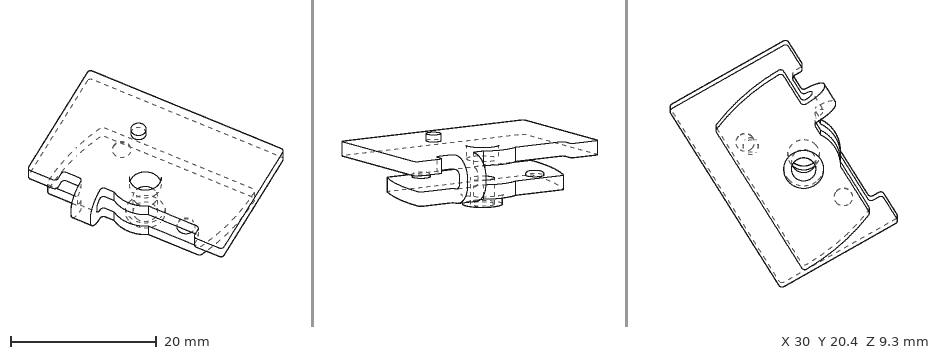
import cadquery as cq
import math

thickness = 2.0
gap = 2.7
upper_bottom = thickness + gap
upper_top = upper_bottom + thickness

upper_width = 30.0
back_y = 12.6
tab_front_y = -6.25
notch_half_width = 10.5
corner_radius = 0.5

front_y = -4.3
bulge_radius = 5.05

lower_half_width = 13.05
lower_narrow_half_width = 10.55
lower_back_y = 7.8
lower_depth = lower_back_y - front_y
side_inset = lower_half_width - lower_narrow_half_width
side_radius = (lower_depth**2 + side_inset**2) / (2 * side_inset)

strap_left = -7.5
strap_width = 3.0
bend_start_y = front_y - corner_radius
bend_inner_radius = 1.0
bend_outer_radius = bend_inner_radius + thickness

upper_hole_diameter = 4.38
upper_hole_rounding = 0.33
bore_diameter = 3.33
boss_diameter = 5.5
boss_height = 1.6
boss_fillet = 0.6

pin_center = (-4.08, 6.03)
pin_diameter = 2.1
pin_height = 1.0
pip_centers = [(7.25, -2.0), (-6.42, 5.52)]
pip_diameter = 2.52
pip_height = 0.5
pip_rounding = 0.4

overlap = 0.3


def disc(center, diameter, bottom, height):
    return cq.Workplane("XY", origin=(*center, bottom)).circle(diameter / 2).extrude(height)


def add_bulge(plate, bottom):
    """Add the rounded swelling of the front edge."""
    half_chord = math.sqrt(bulge_radius**2 - front_y**2)
    bulge = (
        cq.Workplane("XY", origin=(0, 0, bottom))
        .moveTo(-half_chord, front_y)
        .threePointArc((0, -bulge_radius), (half_chord, front_y))
        .lineTo(half_chord, front_y + overlap)
        .lineTo(-half_chord, front_y + overlap)
        .close()
        .extrude(thickness)
    )
    return plate.union(bulge)


def rounded_rim():
    """Ring of material removed to round the upper edge of the hole."""
    radius = upper_hole_diameter / 2
    rim_radius = radius + upper_hole_rounding
    slant = upper_hole_rounding * math.sqrt(0.5)
    rim_bottom = upper_top - upper_hole_rounding
    return (
        cq.Workplane("XZ")
        .moveTo(0, rim_bottom)
        .lineTo(radius, rim_bottom)
        .threePointArc((rim_radius - slant, rim_bottom + slant), (rim_radius, upper_top))
        .lineTo(0, upper_top)
        .close()
        .revolve(360, (0, 0, 0), (0, 1, 0))
    )


def upper_plate():
    """Rectangular plate with a front recess between two corner tabs."""
    half = upper_width / 2
    outline = [
        (-half, back_y),
        (half, back_y),
        (half, tab_front_y),
        (notch_half_width, tab_front_y),
        (notch_half_width, front_y),
        (-notch_half_width, front_y),
        (-notch_half_width, tab_front_y),
        (-half, tab_front_y),
    ]
    plate = cq.Workplane("XY", origin=(0, 0, upper_bottom)).polyline(outline).close().extrude(thickness)
    plate = add_bulge(plate.edges("|Z").fillet(corner_radius), upper_bottom)
    plate = plate.cut(disc((0, 0), upper_hole_diameter, upper_bottom, thickness))
    return plate.cut(rounded_rim())


def lower_plate():
    """Plate with bowed sides, unchanged by a half turn about its middle."""
    front_left = (-lower_half_width, front_y)
    back_left = (-lower_narrow_half_width, lower_back_y)
    back_right = (lower_half_width, lower_back_y)
    front_right = (lower_narrow_half_width, front_y)
    half_sweep = math.asin(lower_depth / side_radius) / 2
    bow_x = lower_half_width - side_radius * (1 - math.cos(half_sweep))
    bow_y = side_radius * math.sin(half_sweep)
    plate = (
        cq.Workplane("XY")
        .moveTo(*front_left)
        .threePointArc((-bow_x, front_y + bow_y), back_left)
        .lineTo(*back_right)
        .threePointArc((bow_x, lower_back_y - bow_y), front_right)
        .close()
        .extrude(thickness)
        .edges("|Z")
        .fillet(corner_radius)
    )
    return add_bulge(plate, 0)


def strap():
    """Strap bent around the front, with flared roots at both plates."""
    bend_front = bend_start_y - bend_outer_radius
    bend_inside = bend_start_y - bend_inner_radius
    outer_slant = bend_outer_radius * math.sqrt(0.5)
    inner_slant = bend_inner_radius * math.sqrt(0.5)
    lower_outer_z = bend_outer_radius
    upper_outer_z = upper_top - bend_outer_radius
    root_y = front_y + overlap
    bend = (
        cq.Workplane("YZ", origin=(strap_left, 0, 0))
        .moveTo(root_y, 0)
        .lineTo(bend_start_y, 0)
        .threePointArc((bend_start_y - outer_slant, lower_outer_z - outer_slant), (bend_front, lower_outer_z))
        .lineTo(bend_front, upper_outer_z)
        .threePointArc((bend_start_y - outer_slant, upper_outer_z + outer_slant), (bend_start_y, upper_top))
        .lineTo(root_y, upper_top)
        .lineTo(root_y, upper_bottom)
        .lineTo(bend_start_y, upper_bottom)
        .threePointArc(
            (bend_start_y - inner_slant, upper_outer_z + inner_slant),
            (bend_inside, upper_outer_z),
        )
        .lineTo(bend_inside, lower_outer_z)
        .threePointArc(
            (bend_start_y - inner_slant, lower_outer_z - inner_slant),
            (bend_start_y, thickness),
        )
        .lineTo(root_y, thickness)
        .close()
        .extrude(strap_width)
    )
    strap_middle = strap_left + strap_width / 2
    flare_width = strap_width + 2 * corner_radius
    for bottom in (0, upper_bottom):
        flare = (
            cq.Workplane("XY", origin=(strap_middle, 0, bottom))
            .center(0, (bend_start_y + root_y) / 2)
            .rect(flare_width, root_y - bend_start_y)
            .extrude(thickness)
        )
        for side in (-1, 1):
            relief_center = (strap_middle + side * flare_width / 2, bend_start_y)
            flare = flare.cut(disc(relief_center, 2 * corner_radius, bottom, thickness))
        bend = bend.union(flare)
    return bend


def boss():
    """Boss under the lower plate with a concave fillet at its root."""
    radius = boss_diameter / 2
    root_radius = radius + boss_fillet
    slant = boss_fillet * math.sqrt(0.5)
    return (
        cq.Workplane("XZ")
        .moveTo(0, -boss_height)
        .lineTo(radius, -boss_height)
        .lineTo(radius, -boss_fillet)
        .threePointArc((root_radius - slant, slant - boss_fillet), (root_radius, 0))
        .lineTo(root_radius, overlap)
        .lineTo(0, overlap)
        .close()
        .revolve(360, (0, 0, 0), (0, 1, 0))
    )


result = upper_plate().union(lower_plate()).union(strap()).union(boss())
result = result.cut(disc((0, 0), bore_diameter, -boss_height, boss_height + thickness))
result = result.union(disc(pin_center, pin_diameter, upper_top - overlap, pin_height + overlap))
for center in pip_centers:
    pip = disc(center, pip_diameter, thickness - overlap, pip_height + overlap)
    result = result.union(pip.faces(">Z").edges().fillet(pip_rounding))